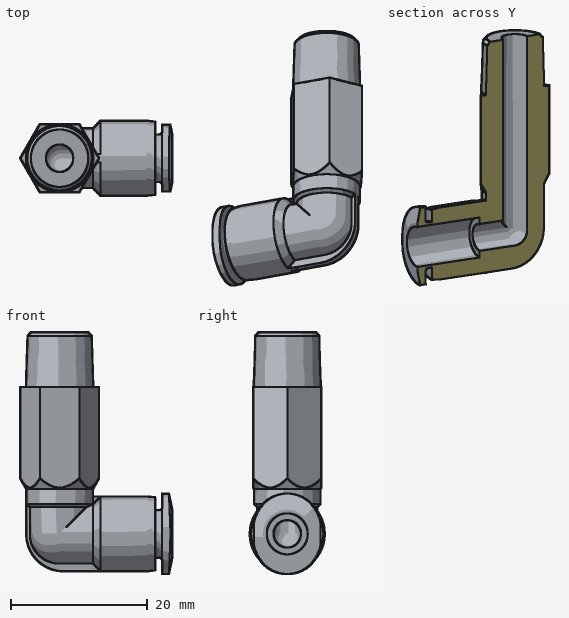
import cadquery as cq
import math


THREAD_TOP = 29.5
THREAD_LENGTH = 8.0
THREAD_BASE_RADIUS = 4.95
THREAD_TAPER = 1 / 16
THREAD_TIP_RADIUS = 4.2
THREAD_CHAMFER_HEIGHT = 0.55

HEX_ACROSS_FLATS = 10.0
HEX_BOTTOM = 6.6
HEX_CHAMFER_ANGLE = 60.0
COLLAR_RADIUS = 4.9
COLLAR_BOTTOM = 4.4

ELBOW_RADIUS = 4.4
RIB_THICKNESS = 1.2

SLEEVE_RADIUS = 5.5
SLEEVE_START = 6.0
SLEEVE_TAPER_START = 12.8
SLEEVE_LIP_START = 13.6
SLEEVE_END = 14.05
SLEEVE_LIP_RADIUS = 5.4
SLEEVE_LIP_CHAMFER = 0.12

NECK_RADIUS = 3.5
NECK_FILLET = 0.4
RING_START = 15.0
RING_RIM_END = 16.0
RING_END = 16.5
RING_END_RADIUS = 3.5
RING_LOBE_RADIUS = 4.9
RING_LOBE_OFFSET = 1.0

BORE_RADIUS = 2.0
TUBE_RADIUS = 3.0

HEX_TOP = THREAD_TOP - THREAD_LENGTH
HEX_CORNER_RADIUS = HEX_ACROSS_FLATS / math.sqrt(3)
RING_HALF_HEIGHT = RING_LOBE_RADIUS + RING_LOBE_OFFSET


def revolve_about_z(points):
    """Revolve (radius, z) points about the Z axis."""
    return cq.Workplane("XZ").polyline(points).close().revolve(360, (0, 0), (0, 1))


def revolve_about_x(points):
    """Revolve (x, radius) points about the X axis."""
    return cq.Workplane("XZ").polyline(points).close().revolve(360, (0, 0), (1, 0))


def bar_along_x(radius, start, end):
    return cq.Workplane("YZ").workplane(offset=start).circle(radius).extrude(end - start)


def bar_along_z(radius, start, end):
    return cq.Workplane("XY").workplane(offset=start).circle(radius).extrude(end - start)


def make_thread():
    chamfer_start = THREAD_TOP - THREAD_CHAMFER_HEIGHT
    chamfer_radius = THREAD_BASE_RADIUS - (chamfer_start - HEX_TOP) * THREAD_TAPER / 2
    return revolve_about_z([
        (0, HEX_TOP),
        (THREAD_BASE_RADIUS, HEX_TOP),
        (chamfer_radius, chamfer_start),
        (THREAD_TIP_RADIUS, THREAD_TOP),
        (0, THREAD_TOP),
    ])


def make_hexagon():
    hexagon = (
        cq.Workplane("XY")
        .workplane(offset=HEX_BOTTOM)
        .polygon(6, 2 * HEX_CORNER_RADIUS)
        .extrude(HEX_TOP - HEX_BOTTOM)
    )
    chamfer_height = (HEX_CORNER_RADIUS - COLLAR_RADIUS) * math.tan(math.radians(HEX_CHAMFER_ANGLE))
    envelope = revolve_about_z([
        (0, HEX_BOTTOM),
        (COLLAR_RADIUS, HEX_BOTTOM),
        (HEX_CORNER_RADIUS, HEX_BOTTOM + chamfer_height),
        (HEX_CORNER_RADIUS, HEX_TOP),
        (0, HEX_TOP),
    ])
    return hexagon.intersect(envelope)


def make_collar():
    cone_bottom = COLLAR_BOTTOM - (COLLAR_RADIUS - ELBOW_RADIUS)
    return revolve_about_z([
        (0, cone_bottom),
        (ELBOW_RADIUS, cone_bottom),
        (COLLAR_RADIUS, COLLAR_BOTTOM),
        (COLLAR_RADIUS, HEX_BOTTOM),
        (0, HEX_BOTTOM),
    ])


def make_elbow():
    ball = cq.Workplane("XY").sphere(ELBOW_RADIUS)
    upright = bar_along_z(ELBOW_RADIUS, 0, COLLAR_BOTTOM)
    level = bar_along_x(ELBOW_RADIUS, 0, SLEEVE_START)
    return ball.union(upright).union(level)


def make_rib():
    """Flat plate in the plane of the two axes, rounded around the outside of the bend."""
    left = -COLLAR_RADIUS
    bend_center_x = left + SLEEVE_RADIUS
    diagonal = SLEEVE_RADIUS * math.sqrt(0.5)
    plate = (
        cq.Workplane("XZ")
        .moveTo(left, COLLAR_BOTTOM)
        .lineTo(left, 0)
        .threePointArc((bend_center_x - diagonal, -diagonal), (bend_center_x, -SLEEVE_RADIUS))
        .lineTo(SLEEVE_START, -SLEEVE_RADIUS)
        .lineTo(SLEEVE_START, SLEEVE_RADIUS)
        .lineTo(0, SLEEVE_RADIUS)
        .lineTo(0, COLLAR_BOTTOM)
        .close()
        .extrude(RIB_THICKNESS / 2, both=True)
    )
    collar_envelope = bar_along_z(COLLAR_RADIUS, -SLEEVE_RADIUS, SLEEVE_RADIUS)
    sleeve_envelope = bar_along_x(SLEEVE_RADIUS, 0, SLEEVE_START)
    return plate.intersect(collar_envelope.union(sleeve_envelope))


def make_sleeve():
    cone_start = SLEEVE_START - (SLEEVE_RADIUS - ELBOW_RADIUS)
    return revolve_about_x([
        (cone_start, 0),
        (cone_start, ELBOW_RADIUS),
        (SLEEVE_START, SLEEVE_RADIUS),
        (SLEEVE_TAPER_START, SLEEVE_RADIUS),
        (SLEEVE_LIP_START, SLEEVE_LIP_RADIUS),
        (SLEEVE_END - SLEEVE_LIP_CHAMFER, SLEEVE_LIP_RADIUS),
        (SLEEVE_END, SLEEVE_LIP_RADIUS - SLEEVE_LIP_CHAMFER),
        (SLEEVE_END, 0),
    ])


def make_neck():
    return (
        cq.Workplane("XZ")
        .moveTo(SLEEVE_END, 0)
        .lineTo(SLEEVE_END, NECK_RADIUS)
        .lineTo(RING_START - NECK_FILLET, NECK_RADIUS)
        .radiusArc((RING_START, NECK_RADIUS + NECK_FILLET), -NECK_FILLET)
        .lineTo(RING_START, 0)
        .close()
        .revolve(360, (0, 0), (1, 0))
    )


def make_release_ring():
    """Two overlapping round lobes, stacked in Z, with a conical outer face."""
    plate = (
        cq.Workplane("YZ")
        .workplane(offset=RING_START)
        .slot2D(2 * RING_HALF_HEIGHT, 2 * RING_LOBE_RADIUS, 90)
        .extrude(RING_END - RING_START)
    )
    envelope = revolve_about_x([
        (RING_START, 0),
        (RING_START, RING_HALF_HEIGHT),
        (RING_RIM_END, RING_HALF_HEIGHT),
        (RING_END, RING_END_RADIUS),
        (RING_END, 0),
    ])
    return plate.intersect(envelope)


def make_bores():
    ball = cq.Workplane("XY").sphere(BORE_RADIUS)
    upright = bar_along_z(BORE_RADIUS, 0, THREAD_TOP)
    level = bar_along_x(BORE_RADIUS, 0, SLEEVE_START)
    tube_socket = bar_along_x(TUBE_RADIUS, SLEEVE_START, RING_END)
    return ball.union(upright).union(level).union(tube_socket)


result = (
    make_elbow()
    .union(make_rib())
    .union(make_collar())
    .union(make_hexagon())
    .union(make_thread())
    .union(make_sleeve())
    .union(make_neck())
    .union(make_release_ring())
    .cut(make_bores())
)